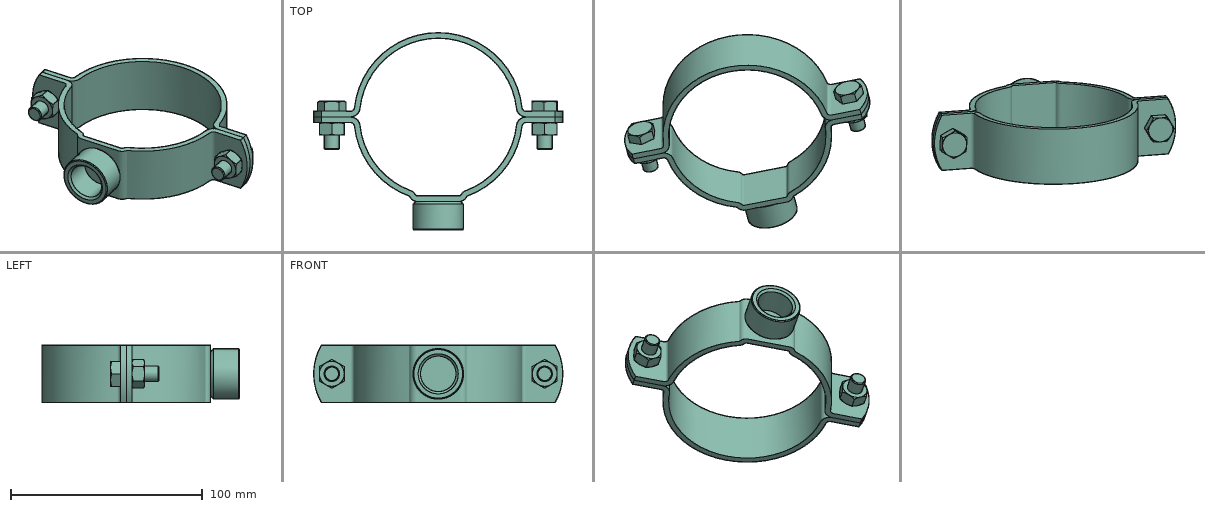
import cadquery as cq
import math

band_width = 30.0
strip = 3.0
outer_radius = 44.0
inner_radius = outer_radius - strip

ear_reach = 65.0
ear_tip_radius = 30.0
ear_bend_radius = 2.0
ear_bend_outer = ear_bend_radius + strip

seat_half_length = 11.15
seat_outer_y = -outer_radius
seat_inner_y = seat_outer_y + strip
seat_bend_radius = 1.0
seat_bend_outer = seat_bend_radius + strip

socket_radius = 13.2
socket_end_y = -59.0
socket_bore_radius = 9.25
socket_weld_chamfer = 1.5
socket_mouth_chamfer = 1.2
socket_rim_chamfer = 0.5

bolt_x = 55.5
bolt_radius = 4.0
bolt_length = 20.0
bolt_tip_chamfer = 0.5
across_flats = 13.0
across_corners = across_flats / math.cos(math.radians(30))
head_height = 5.2
nut_height = 6.5
hex_chamfer_angle = 30.0
corner_turn = {-1: 0.0, 1: -33.0}


def polar(radius, angle, center=(0.0, 0.0)):
    """Point at a radius and an angle (radians) around a center."""
    return (center[0] + radius * math.cos(angle), center[1] + radius * math.sin(angle))


def mirror_x(point):
    return (-point[0], point[1])


ear_bend_y = strip + ear_bend_radius
ear_bend_x = math.sqrt((outer_radius + ear_bend_radius) ** 2 - ear_bend_y ** 2)
ear_bend_center = (ear_bend_x, ear_bend_y)
ring_end_angle = math.atan2(ear_bend_y, ear_bend_x)
ear_bend_mid_angle = (ring_end_angle + math.pi + 1.5 * math.pi) / 2


def ear_bend_points(sign):
    """Start, middle and end of the inner and outer bend arcs; sign is +1 or -1 for the half in Y."""
    inner = [
        polar(inner_radius, ring_end_angle),
        polar(ear_bend_outer, ear_bend_mid_angle, ear_bend_center),
        (ear_bend_x, 0.0),
    ]
    outer = [
        polar(outer_radius, ring_end_angle),
        polar(ear_bend_radius, ear_bend_mid_angle, ear_bend_center),
        (ear_bend_x, strip),
    ]
    return [(x, sign * y) for x, y in inner], [(x, sign * y) for x, y in outer]


seat_bend_center = (seat_half_length, seat_inner_y + seat_bend_radius)
ring_bend_distance = outer_radius + seat_bend_radius
bend_spacing = seat_bend_radius + seat_bend_outer
seat_center_distance = math.hypot(*seat_bend_center)
seat_center_angle = math.atan2(seat_bend_center[1], seat_bend_center[0])
apex_angle = math.acos(
    (seat_center_distance ** 2 + ring_bend_distance ** 2 - bend_spacing ** 2)
    / (2 * seat_center_distance * ring_bend_distance)
)
seat_ring_angle = seat_center_angle + apex_angle
ring_bend_center = polar(ring_bend_distance, seat_ring_angle)
joint_angle = math.atan2(
    ring_bend_center[1] - seat_bend_center[1],
    ring_bend_center[0] - seat_bend_center[0],
)
seat_mid_angle = (joint_angle - math.pi / 2) / 2
ring_bend_mid_angle = (joint_angle + seat_ring_angle) / 2 + math.pi


def seat_bend_points(ring_radius, seat_arc, ring_arc, seat_y):
    """Ring end, arc middle, joint, arc middle and seat end along one face of the strip."""
    return [
        polar(ring_radius, seat_ring_angle),
        polar(ring_arc, ring_bend_mid_angle, ring_bend_center),
        polar(seat_arc, joint_angle, seat_bend_center),
        polar(seat_arc, seat_mid_angle, seat_bend_center),
        (seat_half_length, seat_y),
    ]


def finish_band(profile):
    """Extrude a strip profile, round the ear tips and drill the bolt holes."""
    band = profile.extrude(band_width / 2, both=True)
    tip_center = ear_reach - ear_tip_radius
    for side in (-1, 1):
        corner_x = tip_center + math.sqrt(ear_tip_radius ** 2 - (band_width / 2) ** 2)
        waste = (
            cq.Workplane("XZ")
            .moveTo(side * corner_x, -band_width / 2)
            .threePointArc((side * ear_reach, 0), (side * corner_x, band_width / 2))
            .lineTo(side * 2 * ear_reach, band_width / 2)
            .lineTo(side * 2 * ear_reach, -band_width / 2)
            .close()
            .extrude(2 * strip, both=True)
        )
        hole = (
            cq.Workplane("XZ")
            .center(side * bolt_x, 0)
            .circle(bolt_radius)
            .extrude(2 * strip, both=True)
        )
        band = band.cut(waste).cut(hole)
    return band


def make_plain_half():
    """Half ring at +Y."""
    inner, outer = ear_bend_points(1)
    profile = (
        cq.Workplane("XY")
        .moveTo(ear_reach, 0)
        .lineTo(*inner[2])
        .threePointArc(inner[1], inner[0])
        .threePointArc((0, inner_radius), mirror_x(inner[0]))
        .threePointArc(mirror_x(inner[1]), mirror_x(inner[2]))
        .lineTo(-ear_reach, 0)
        .lineTo(-ear_reach, strip)
        .lineTo(*mirror_x(outer[2]))
        .threePointArc(mirror_x(outer[1]), mirror_x(outer[0]))
        .threePointArc((0, outer_radius), outer[0])
        .threePointArc(outer[1], outer[2])
        .lineTo(ear_reach, strip)
        .close()
    )
    return finish_band(profile)


def make_seat_half():
    """Half ring at -Y with the flat seat for the socket."""
    inner, outer = ear_bend_points(-1)
    inner_seat = seat_bend_points(inner_radius, seat_bend_radius, seat_bend_outer, seat_inner_y)
    outer_seat = seat_bend_points(outer_radius, seat_bend_outer, seat_bend_radius, seat_outer_y)
    ring_mid_angle = (seat_ring_angle - ring_end_angle) / 2
    inner_mid = polar(inner_radius, ring_mid_angle)
    outer_mid = polar(outer_radius, ring_mid_angle)
    profile = (
        cq.Workplane("XY")
        .moveTo(ear_reach, 0)
        .lineTo(*inner[2])
        .threePointArc(inner[1], inner[0])
        .threePointArc(inner_mid, inner_seat[0])
        .threePointArc(inner_seat[1], inner_seat[2])
        .threePointArc(inner_seat[3], inner_seat[4])
        .lineTo(*mirror_x(inner_seat[4]))
        .threePointArc(mirror_x(inner_seat[3]), mirror_x(inner_seat[2]))
        .threePointArc(mirror_x(inner_seat[1]), mirror_x(inner_seat[0]))
        .threePointArc(mirror_x(inner_mid), mirror_x(inner[0]))
        .threePointArc(mirror_x(inner[1]), mirror_x(inner[2]))
        .lineTo(-ear_reach, 0)
        .lineTo(-ear_reach, -strip)
        .lineTo(*mirror_x(outer[2]))
        .threePointArc(mirror_x(outer[1]), mirror_x(outer[0]))
        .threePointArc(mirror_x(outer_mid), mirror_x(outer_seat[0]))
        .threePointArc(mirror_x(outer_seat[1]), mirror_x(outer_seat[2]))
        .threePointArc(mirror_x(outer_seat[3]), mirror_x(outer_seat[4]))
        .lineTo(*outer_seat[4])
        .threePointArc(outer_seat[3], outer_seat[2])
        .threePointArc(outer_seat[1], outer_seat[0])
        .threePointArc(outer_mid, outer[0])
        .threePointArc(outer[1], outer[2])
        .lineTo(ear_reach, -strip)
        .close()
    )
    return finish_band(profile)


def make_socket():
    """Round socket on the seat, bored down to the strip."""
    profile = (
        cq.Workplane("XY")
        .moveTo(socket_bore_radius, seat_outer_y)
        .lineTo(socket_radius - socket_weld_chamfer, seat_outer_y)
        .lineTo(socket_radius, seat_outer_y - socket_weld_chamfer)
        .lineTo(socket_radius, socket_end_y + socket_rim_chamfer)
        .lineTo(socket_radius - socket_rim_chamfer, socket_end_y)
        .lineTo(socket_bore_radius + socket_mouth_chamfer, socket_end_y)
        .lineTo(socket_bore_radius, socket_end_y + socket_mouth_chamfer)
        .close()
    )
    return profile.revolve(360, (0, 0, 0), (0, 1, 0))


def make_hex(height, chamfer_top, chamfer_bottom):
    """Hexagon along +Z with corners on the X axis; ends chamfered at the corners."""
    drop = (across_corners - across_flats) / 2 * math.tan(math.radians(hex_chamfer_angle))
    flat_radius = across_flats / 2
    corner_radius = across_corners / 2
    outline = cq.Workplane("XZ").moveTo(0, 0)
    if chamfer_bottom:
        outline = outline.lineTo(flat_radius, 0).lineTo(corner_radius, drop)
    else:
        outline = outline.lineTo(corner_radius, 0)
    if chamfer_top:
        outline = outline.lineTo(corner_radius, height - drop).lineTo(flat_radius, height)
    else:
        outline = outline.lineTo(corner_radius, height)
    envelope = outline.lineTo(0, height).close().revolve(360, (0, 0, 0), (0, 1, 0))
    return cq.Workplane("XY").polygon(6, across_corners).extrude(height).intersect(envelope)


def place_on_ear(body, side, seat_y, turn):
    """Turn a body about its own Z axis, point +Z along +Y and set its origin on an ear face."""
    turned = body.rotate((0, 0, 0), (0, 0, 1), turn)
    return turned.rotate((0, 0, 0), (1, 0, 0), -90).translate((side * bolt_x, seat_y, 0))


def make_bolt(side):
    """Hex bolt with its head on the +Y face of an ear."""
    shank = (
        cq.Workplane("XY")
        .circle(bolt_radius)
        .extrude(-bolt_length)
        .faces("<Z")
        .chamfer(bolt_tip_chamfer)
    )
    bolt = make_hex(head_height, True, False).union(shank)
    return place_on_ear(bolt, side, strip, corner_turn[side])


def make_nut(side):
    """Hex nut on the -Y face of an ear, with a corner up."""
    hole = cq.Workplane("XY").circle(bolt_radius).extrude(nut_height)
    nut = make_hex(nut_height, True, True).cut(hole)
    return place_on_ear(nut, side, -strip - nut_height, 30)


plain_half = make_plain_half()
seat_half = make_seat_half()
socket = make_socket()
bolts = [make_bolt(side) for side in (-1, 1)]
nuts = [make_nut(side) for side in (-1, 1)]

result = cq.Compound.makeCompound([
    plain_half.val(),
    seat_half.val(),
    socket.val(),
    *[bolt.val() for bolt in bolts],
    *[nut.val() for nut in nuts],
])